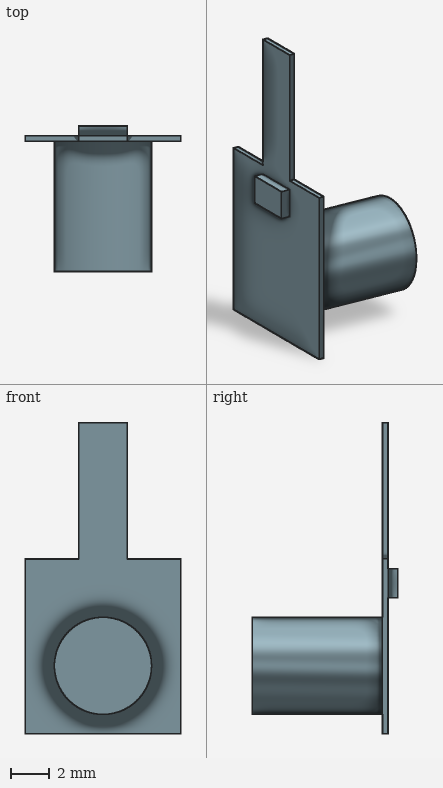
import cadquery as cq

plate_width = 8.0
plate_height = 9.0
plate_thickness = 0.3

strip_width = 2.5
overall_height = 16.0
strip_height = overall_height - plate_height

cylinder_diameter = 5.0
cylinder_center_z = 3.5
overall_depth = 7.5

block_width = strip_width
block_height = 1.5
block_depth = 0.5
block_bottom_z = 7.0

cylinder_length = overall_depth - plate_thickness - block_depth


def centered_box(width, depth, height, front_y, bottom_z):
    """Box centred on X, starting at the given front Y and bottom Z."""
    return (
        cq.Workplane("XY")
        .box(width, depth, height, centered=(True, False, False))
        .translate((0, front_y, bottom_z))
    )


def front_cylinder():
    """Cylinder running from the plate's front face toward -Y."""
    return (
        cq.Workplane("XZ")
        .center(0, cylinder_center_z)
        .circle(cylinder_diameter / 2)
        .extrude(cylinder_length)
    )


plate = centered_box(plate_width, plate_thickness, plate_height, 0, 0)
strip = centered_box(strip_width, plate_thickness, strip_height, 0, plate_height)
block = centered_box(block_width, block_depth, block_height, plate_thickness, block_bottom_z)

result = plate.union(strip).union(block).union(front_cylinder())